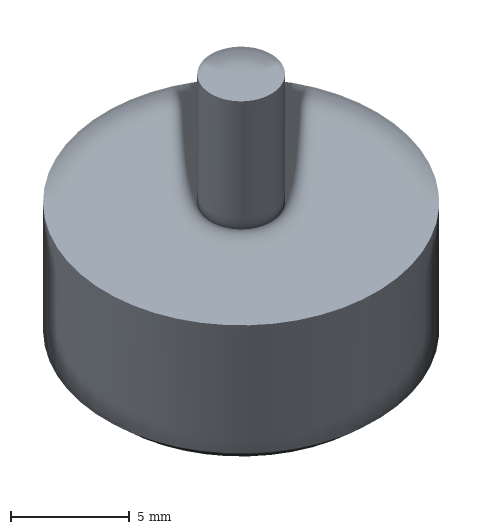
import cadquery as cq

total_height = 16.9
body_diameter = 16.7
pin_diameter = 3.7
pin_length = 6.9
body_height = 6.9
bevel_height = 0.81
bevel_inset = 0.81

body_radius = body_diameter / 2
pin_radius = pin_diameter / 2
cone_radius = body_radius - bevel_inset
shoulder_z = total_height - pin_length
wall_bottom_z = shoulder_z - body_height
cone_base_z = wall_bottom_z - bevel_height

half_section = (
    cq.Workplane("XZ")
    .moveTo(0, 0)
    .lineTo(cone_radius, cone_base_z)
    .lineTo(body_radius, wall_bottom_z)
    .lineTo(body_radius, shoulder_z)
    .lineTo(pin_radius, shoulder_z)
    .lineTo(pin_radius, total_height)
    .lineTo(0, total_height)
    .close()
)

result = half_section.revolve(360, (0, 0, 0), (0, 1, 0))